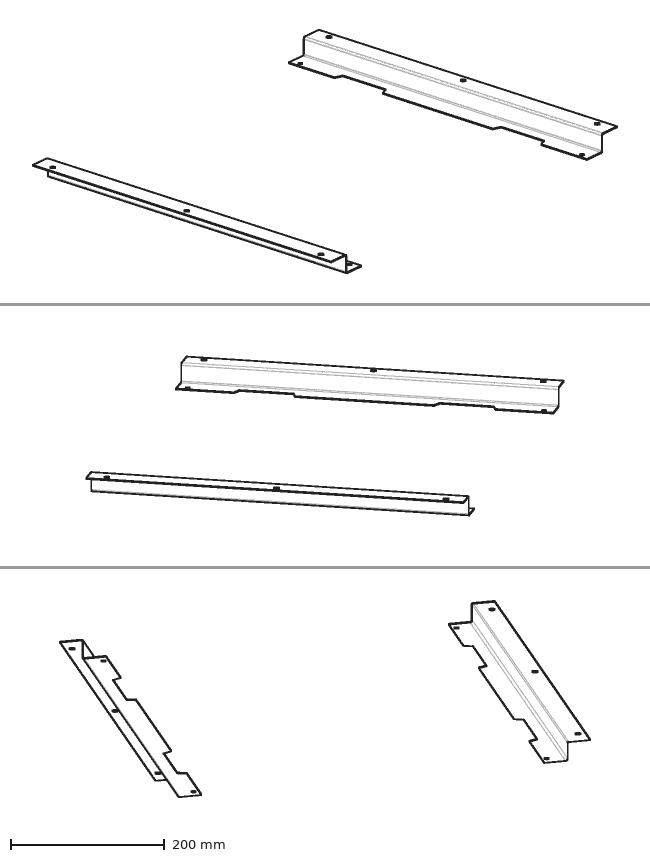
import cadquery as cq

length = 504.0
outer_width = 584.0
height = 27.5

thickness = 1.5
inner_bend_radius = 1.5
outer_bend_radius = inner_bend_radius + thickness
rail_depth = 62.0
upper_flange_width = 31.5

upper_hole_diameter = 7.0
upper_hole_spacing = 226.5
upper_hole_edge_distance = 10.0
lower_hole_diameter = 5.55
lower_hole_end_distance = 14.0
lower_hole_edge_distance = 7.0

notch_center = 134.0
notch_mouth_width = 82.0
notch_floor_width = 72.5
notch_depth = 11.5

outer_edge = -outer_width / 2
web_inward_face = outer_edge + upper_flange_width
web_outward_face = web_inward_face - thickness
free_edge = outer_edge + rail_depth


def z_section():
    """Bent sheet: upper flange outward, web down, lower flange inward."""
    profile = (
        cq.Workplane("YZ", origin=(-length / 2, 0, 0))
        .moveTo(outer_edge, height)
        .lineTo(web_inward_face, height)
        .lineTo(web_inward_face, thickness)
        .lineTo(free_edge, thickness)
        .lineTo(free_edge, 0)
        .lineTo(web_outward_face, 0)
        .lineTo(web_outward_face, height - thickness)
        .lineTo(outer_edge, height - thickness)
        .close()
    )
    sheet = profile.extrude(length)
    outer_corners = ((web_inward_face, height), (web_outward_face, 0))
    inner_corners = ((web_inward_face, thickness), (web_outward_face, height - thickness))
    for corners, radius in ((outer_corners, outer_bend_radius), (inner_corners, inner_bend_radius)):
        for y, z in corners:
            sheet = sheet.edges(cq.NearestToPointSelector((0, y, z))).fillet(radius)
    return sheet


def upper_holes():
    y = outer_edge + upper_hole_edge_distance
    return (
        cq.Workplane("XY")
        .pushPoints([(x, y) for x in (-upper_hole_spacing, 0, upper_hole_spacing)])
        .circle(upper_hole_diameter / 2)
        .extrude(height)
    )


def lower_holes():
    x = length / 2 - lower_hole_end_distance
    y = free_edge - lower_hole_edge_distance
    return (
        cq.Workplane("XY")
        .pushPoints([(-x, y), (x, y)])
        .circle(lower_hole_diameter / 2)
        .extrude(height)
    )


def notch(center_x):
    floor = free_edge - notch_depth
    return (
        cq.Workplane("XY")
        .moveTo(center_x - notch_mouth_width / 2, free_edge)
        .lineTo(center_x - notch_floor_width / 2, floor)
        .lineTo(center_x + notch_floor_width / 2, floor)
        .lineTo(center_x + notch_mouth_width / 2, free_edge)
        .close()
        .extrude(height)
    )


def make_rail():
    """The rail on the -Y side."""
    rail = z_section().cut(upper_holes()).cut(lower_holes())
    for center_x in (-notch_center, notch_center):
        rail = rail.cut(notch(center_x))
    return rail


front_rail = make_rail()
rails = [front_rail, front_rail.mirror("XZ")]

result = cq.Compound.makeCompound([rail.val() for rail in rails])